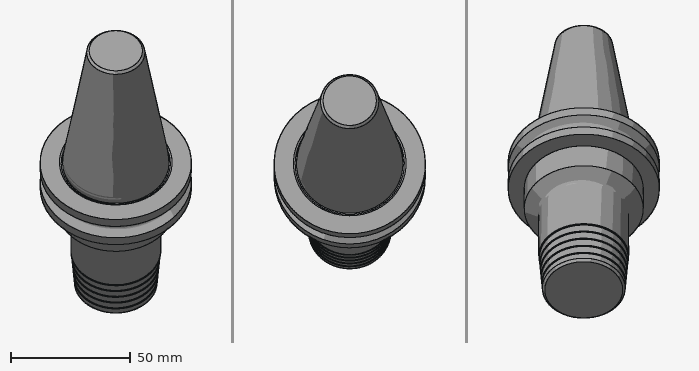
import cadquery as cq
import math

total_height = 148.9
gauge_height = 80.5
flange_top = 77.5
flange_bottom = 61.3
body_bottom = 49.3

flange_radius = 63.6 / 2
body_radius = 25.0
shank_radius = 18.9

gauge_radius = 22.2
taper_top_radius = gauge_radius - (total_height - gauge_height) * 7 / 48
taper_chamfer = 1.0

collar_radius = 22.3
collar_top = 79.0
collar_step_top = 79.8
relief_radius = 23.7
relief_floor_radius = 23.0
relief_depth = 0.5

groove_root_radius = 28.3
groove_center = 69.4
groove_width = 7.3
groove_fillet = 1.0
flank_angle = math.radians(60)
groove_flank_height = (flange_radius - groove_root_radius) / math.tan(flank_angle)

shoulder_height = (body_radius - shank_radius) / math.tan(flank_angle)
shoulder_bottom = body_bottom - shoulder_height
shoulder_fillet = 1.3

nose_height = 20.3
nose_top_radius = 18.8
nose_end_radius = 17.4
nose_chamfer = 1.0
ring_count = 5
ring_pitch = 4.0
ring_width = 0.5
ring_depth = 0.22

cutter_overrun = 1.5


def revolve_profile(points):
    """Revolve an (r, z) outline about the Z axis."""
    return cq.Workplane("XZ").polyline(points).close().revolve(360, (0, 0, 0), (0, 1, 0))


def make_holder():
    """Taper, flange blank, body, shank and nose as one revolved solid."""
    holder = revolve_profile([
        (0, 0),
        (nose_end_radius - nose_chamfer, 0),
        (nose_end_radius, nose_chamfer),
        (nose_top_radius, nose_height),
        (shank_radius, nose_height),
        (shank_radius, shoulder_bottom),
        (body_radius, body_bottom),
        (body_radius, flange_bottom),
        (flange_radius, flange_bottom),
        (flange_radius, flange_top),
        (relief_radius, flange_top),
        (relief_floor_radius, flange_top - relief_depth),
        (collar_radius, flange_top - relief_depth),
        (collar_radius, collar_top),
        (gauge_radius, collar_step_top),
        (gauge_radius, gauge_height),
        (taper_top_radius, total_height - taper_chamfer),
        (taper_top_radius - taper_chamfer, total_height),
        (0, total_height),
    ])
    margin = 0.1
    edge_reach = shank_radius + margin
    shoulder_edge = cq.selectors.BoxSelector(
        (-edge_reach, -edge_reach, shoulder_bottom - margin),
        (edge_reach, edge_reach, shoulder_bottom + margin),
        boundingbox=True,
    )
    return holder.edges(shoulder_edge).edges("%CIRCLE").fillet(shoulder_fillet)


def make_gripper_groove():
    """V-groove cutter with rounded corners at its root."""
    half_mouth = groove_width / 2
    half_root = half_mouth - groove_flank_height
    outer = flange_radius + cutter_overrun
    cutter = revolve_profile([
        (groove_root_radius, groove_center - half_root),
        (flange_radius, groove_center - half_mouth),
        (outer, groove_center - half_mouth),
        (outer, groove_center + half_mouth),
        (flange_radius, groove_center + half_mouth),
        (groove_root_radius, groove_center + half_root),
    ])
    smallest_edges = cq.selectors.RadiusNthSelector(0)
    return cutter.edges("%CIRCLE").edges(smallest_edges).fillet(groove_fillet)


def make_nose_ring(height):
    """Shallow ring groove centred at the given height on the nose."""
    slope = (nose_top_radius - nose_end_radius) / (nose_height - nose_chamfer)
    surface_radius = nose_top_radius - slope * (nose_height - height)
    inner = surface_radius - ring_depth
    outer = surface_radius + cutter_overrun
    bottom = height - ring_width / 2
    top = height + ring_width / 2
    return revolve_profile([(inner, bottom), (outer, bottom), (outer, top), (inner, top)])


result = make_holder().cut(make_gripper_groove())
for ring in range(ring_count):
    result = result.cut(make_nose_ring(nose_height - ring * ring_pitch))